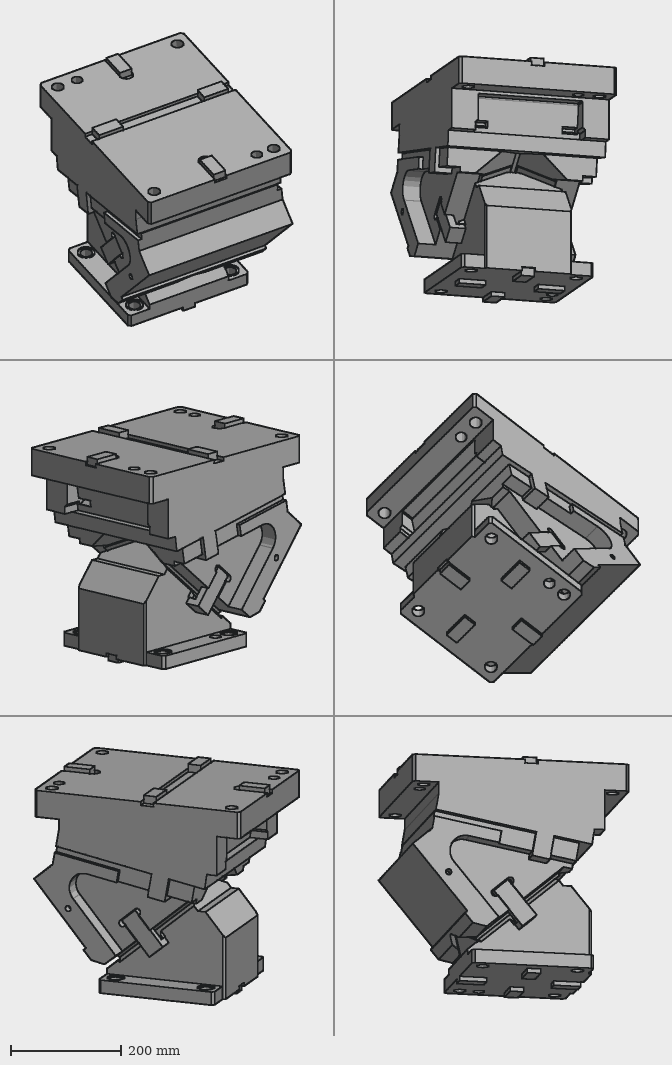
import cadquery as cq
import math


overall_length = 400.5
overall_width = 300.0
overall_height = 393.0
half_width = overall_width / 2

key_length = 50.0
key_width = 25.0
key_proud = 8.0
keyway_depth = 7.0
key_setback = 5.0

cut_margin = 4.0
corner_chamfer = 5.0
bolt_diameter = 22.0
dowel_diameter = 20.0

way_angle = math.radians(10)
way_x, way_z = 68.0, 232.5
ramp_angle = math.radians(40)
ramp_x, ramp_z = 114.0, 196.0

plate_length = 400.0
plate_thickness = 50.0
plate_top = overall_height - key_proud
plate_bottom = plate_top - plate_thickness
neck_left, neck_right = 45.0, 352.0
neck_step_z = 261.0
neck_lip_x = 64.0
way_end = 294.0
cross_groove_x = 167.8
cross_groove_width = 25.0
cross_key_inner = 85.0
end_keyway_length = 69.0
plate_hole_inset = 25.2
plate_bolt_y = 125.0
front_dowel_y = -85.0
rear_dowel_y = 89.7
recess_half_width = 99.5
recess_top = 328.8
recess_back_x = 80.0
recess_lip = 3.0
recess_corner = 2.0
recess_foot_extra = 5.2
recess_foot_height = 13.5
nook_inner = 71.3
nook_front_z, nook_back_z, nook_top = 274.0, 280.5, 286.0
nook_depth = 12.0
hook_start, hook_end = 71.3, 105.0
hook_thickness = 10.0

way_gap = 1.2
slide_start, slide_end = 23.0, 294.5
toe_depth = 44.0
slab_depth = 35.0
slab_half_width = 142.0
core_half_width = 117.0
back_corner_depth = 35.2
back_tip_n = 201.0
heel_s = 211.0
heel_top_n, heel_bottom_n = 44.0, 21.0
slide_foot_s = 194.5
flange_start = 168.0
flange_top_depth = 13.0
pocket_wall_s = 165.8
pocket_radius = 30.0
lift_hole_x, lift_hole_z = 334.0, 168.5
lift_hole_diameter = 10.5
lift_hole_depth = 20.0
drill_point_angle = math.radians(30)

roof_slope = math.radians(30)
roof_eave_n = -12.5
ridge_half_width = 12.0
valley_half_width = 66.0
valley_flat_half = 4.0
pad_inner_y = 5.5
pad_outer_y = 70.0
pad_start, pad_length = 1.0, 200.2

clamp_start, clamp_end = 96.5, 130.5
clamp_bottom_n, clamp_top_n = -38.0, 45.5
clamp_inner_y, clamp_outer_y = 100.0, 114.5
clamp_foot_y = 84.5
clamp_foot_top_n = -25.5
clamp_slot_top_n = 47.0
relief_radius = 6.5
relief_offset = 1.5

driver_left, driver_right = 55.0, 284.7
driver_bottom = key_proud
driver_half_width = 82.5
driver_chamfer_y = 2.5
shoulder_x, shoulder_z = 93.0, 169.5
driver_roof_start, driver_roof_end = 12.0, 200.5
driver_flat_n = -7.5
foot_left = 60.0
foot_half_width = 125.5
foot_top = 33.0
foot_bolt_x = (85.0, 260.3)
foot_bolt_y = 100.0
foot_dowel_x = 225.0
spotface_diameter = 31.2
spotface_depth = 2.0
driver_cross_key_x = 165.5
driver_cross_key_inner = 50.0
tab_overhang_s = 1.0
tab_outer_y = 94.0


def on_way(along, out):
    """XZ point at a distance along the holder way and out of it (up is positive)."""
    return (
        way_x + along * math.cos(way_angle) - out * math.sin(way_angle),
        way_z + along * math.sin(way_angle) + out * math.cos(way_angle),
    )


def on_ramp(s, n):
    """XZ point at a distance s down the ramp and n square to it (up is positive)."""
    return (
        ramp_x + s * math.cos(ramp_angle) + n * math.sin(ramp_angle),
        ramp_z - s * math.sin(ramp_angle) + n * math.cos(ramp_angle),
    )


def roof_n(y):
    """Height of the driver roof surface square to the ramp at a distance y from the middle."""
    return roof_eave_n + (driver_half_width - y) * math.tan(roof_slope)


def valley_n(y):
    """Height of the slide valley surface square to the ramp at a distance y from the middle."""
    return (valley_half_width - y) * math.tan(roof_slope)


def both_sides(solid):
    return solid.union(solid.mirror("XZ"))


def through(points, half):
    """Prism of an XZ outline, centred across the width."""
    return cq.Workplane("XZ").polyline(points).close().extrude(half, both=True)


def side_pair(points, inner, outer):
    """Prisms of an XZ outline between two distances from the middle, on both sides."""
    near = cq.Workplane("XZ", origin=(0, -inner, 0)).polyline(points).close().extrude(outer - inner)
    return both_sides(near)


def ramp_prism(points, s_start, s_end):
    """Prism of a (y, n) outline running down the ramp."""
    x, z = on_ramp(s_start, 0)
    down_ramp = (math.cos(ramp_angle), 0, -math.sin(ramp_angle))
    section = cq.Plane(origin=(x, 0, z), xDir=(0, 1, 0), normal=down_ramp)
    return cq.Workplane(section).polyline(points).close().extrude(s_end - s_start)


def box(x0, x1, y0, y1, z0, z1):
    return cq.Workplane("XY").box(x1 - x0, y1 - y0, z1 - z0, centered=False).translate((x0, y0, z0))


def ramp_rectangle(s0, s1, n0, n1):
    return [on_ramp(s0, n0), on_ramp(s1, n0), on_ramp(s1, n1), on_ramp(s0, n1)]


def way_rectangle(a0, a1, h0, h1):
    return [on_way(a0, h0), on_way(a1, h0), on_way(a1, h1), on_way(a0, h1)]


def end_keyway(x_edge, direction):
    """Round-ended keyway running in from an end of the plate."""
    arc_x = x_edge + direction * (end_keyway_length - key_width / 2)
    tip_x = x_edge + direction * end_keyway_length
    half = key_width / 2
    return (
        cq.Workplane("XY", origin=(0, 0, plate_top - keyway_depth))
        .moveTo(x_edge, -half)
        .lineTo(arc_x, -half)
        .threePointArc((tip_x, 0), (arc_x, half))
        .lineTo(x_edge, half)
        .close()
        .extrude(keyway_depth)
    )


def holder_keys():
    half = key_width / 2
    z0, z1 = plate_top - keyway_depth, overall_height
    front = box(key_setback, key_setback + key_length, -half, half, z0, z1)
    rear_end = plate_length - key_setback
    rear = box(rear_end - key_length, rear_end, -half, half, z0, z1)
    groove_end = cross_groove_x + cross_groove_width
    cross = box(cross_groove_x, groove_end, cross_key_inner, cross_key_inner + key_length, z0, z1)
    return front, rear, cross, cross.mirror("XZ")


def plate_holes():
    front_x = plate_hole_inset
    rear_x = plate_length - plate_hole_inset
    bolts = [(x, y) for x in (front_x, rear_x) for y in (-plate_bolt_y, plate_bolt_y)]
    dowels = [(front_x, front_dowel_y), (rear_x, rear_dowel_y)]
    floor = cq.Workplane("XY", origin=(0, 0, plate_bottom))
    bolt_holes = floor.pushPoints(bolts).circle(bolt_diameter / 2).extrude(plate_thickness)
    dowel_holes = floor.pushPoints(dowels).circle(dowel_diameter / 2).extrude(plate_thickness)
    return bolt_holes, dowel_holes


def front_recess():
    """Pocket in the front of the neck; its back wall is square to the way."""
    lean = math.tan(way_angle)
    wall_top_z = recess_top - recess_lip
    wall_top_x = recess_back_x - (wall_top_z - neck_step_z) * lean
    foot_half = recess_half_width + recess_foot_extra
    foot_top_z = neck_step_z + recess_foot_height
    pocket = through(
        [
            (neck_left, neck_step_z),
            (recess_back_x, neck_step_z),
            (wall_top_x, wall_top_z),
            (wall_top_x, recess_top),
            (neck_left, recess_top),
        ],
        foot_half,
    )
    half_opening = [
        (0, neck_step_z),
        (foot_half, neck_step_z),
        (foot_half, foot_top_z),
        (recess_half_width, foot_top_z + recess_foot_extra),
        (recess_half_width, recess_top - recess_corner),
        (recess_half_width - recess_corner, recess_top),
        (0, recess_top),
    ]
    opening = cq.Workplane("YZ").polyline(half_opening).close().extrude(recess_back_x)
    pocket = pocket.intersect(both_sides(opening))

    nook_back_x = recess_back_x + nook_depth
    nook = side_pair(
        [
            (neck_lip_x, nook_front_z),
            (recess_back_x, nook_front_z),
            (nook_back_x, nook_back_z),
            (nook_back_x, nook_top),
            (neck_lip_x, nook_top),
        ],
        nook_inner,
        recess_half_width,
    )
    return pocket.union(nook)


def make_holder():
    plate = box(0, plate_length, -half_width, half_width, plate_bottom, plate_top)
    plate = plate.edges("|Z").chamfer(corner_chamfer)
    way_back_x, way_back_z = on_way(way_end, 0)
    kink_z = way_back_z + (way_back_x - neck_right) / math.tan(way_angle)
    neck = through(
        [
            (neck_left, plate_bottom),
            (neck_left, neck_step_z),
            (neck_lip_x, neck_step_z),
            (way_x, way_z),
            (way_back_x, way_back_z),
            (neck_right, kink_z),
            (neck_right, plate_bottom),
        ],
        half_width,
    )
    body = plate.union(neck).cut(front_recess())

    foot_bottom = -slab_depth - hook_thickness
    leg_outline = way_rectangle(hook_start, hook_end, foot_bottom, 0)
    foot_outline = way_rectangle(hook_start, hook_end, foot_bottom, -slab_depth)
    body = body.union(side_pair(leg_outline, slab_half_width, half_width))
    body = body.union(side_pair(foot_outline, core_half_width, half_width))

    groove_end = cross_groove_x + cross_groove_width
    groove_z = plate_top - keyway_depth
    body = body.cut(box(cross_groove_x, groove_end, -half_width, half_width, groove_z, plate_top))
    body = body.cut(end_keyway(0, 1)).cut(end_keyway(plate_length, -1))
    for key in holder_keys():
        body = body.union(key)
    for holes in plate_holes():
        body = body.cut(holes)
    return body


def slide_pocket():
    """Side pocket under the slab: roof along the way, wall square to the ramp, round between."""
    wall_x, wall_z = on_ramp(pocket_wall_s, 0)
    roof_x, roof_z = on_way(0, -slab_depth)
    wall_rise = 1 / math.tan(ramp_angle)
    roof_rise = math.tan(way_angle)
    corner_x = (roof_z - wall_z + wall_rise * wall_x - roof_rise * roof_x) / (wall_rise - roof_rise)
    corner_z = wall_z + wall_rise * (corner_x - wall_x)
    outline = [
        (roof_x, roof_z),
        (corner_x, corner_z),
        on_ramp(pocket_wall_s, -toe_depth),
        (roof_x, 0),
    ]
    depth = half_width - core_half_width
    pocket = cq.Workplane("XZ", origin=(0, -core_half_width, 0)).polyline(outline).close().extrude(depth)
    corner_middle = (corner_x, -core_half_width - depth / 2, corner_z)
    corner_edge = pocket.edges(cq.selectors.NearestToPointSelector(corner_middle))
    return both_sides(corner_edge.fillet(pocket_radius))


def slide_flange_trim():
    """Outer layer taken off ahead of the flange and along its top edge."""
    beyond = slide_end + cut_margin
    ahead = side_pair(way_rectangle(0, flange_start, -2 * toe_depth, 0), slab_half_width, half_width)
    above = side_pair(way_rectangle(0, beyond, -flange_top_depth, 0), slab_half_width, half_width)
    return ahead.union(above)


def slide_valley():
    flat_n = valley_n(valley_flat_half)
    profile = [
        (-slab_half_width, valley_n(slab_half_width)),
        (-valley_flat_half, flat_n),
        (valley_flat_half, flat_n),
        (slab_half_width, valley_n(slab_half_width)),
    ]
    return ramp_prism(profile, -overall_length, overall_length)


def guide_pads():
    """Pads lining the valley and resting on the driver roof, with outer edges square to it."""
    edge_y = pad_outer_y - roof_n(pad_outer_y) * math.tan(roof_slope)
    profile = [
        (pad_inner_y, roof_n(pad_inner_y)),
        (pad_outer_y, roof_n(pad_outer_y)),
        (edge_y, 0),
        (valley_half_width, 0),
        (pad_inner_y, valley_n(pad_inner_y)),
    ]
    return both_sides(ramp_prism(profile, pad_start, pad_start + pad_length))


def clamp_slot():
    """Slots in the core sides for the clamps, with round corner reliefs."""
    outline = ramp_rectangle(clamp_start, clamp_end, -cut_margin, clamp_slot_top_n)
    slot = side_pair(outline, clamp_inner_y, core_half_width)
    relief_n = clamp_slot_top_n - relief_radius
    relief_points = [
        on_ramp(clamp_start - relief_offset, relief_n),
        on_ramp(clamp_end + relief_offset, relief_n),
    ]
    relief = (
        cq.Workplane("XZ", origin=(0, -clamp_inner_y, 0))
        .pushPoints(relief_points)
        .circle(relief_radius)
        .extrude(core_half_width - clamp_inner_y)
    )
    return slot.union(both_sides(relief))


def clamps():
    leg = ramp_rectangle(clamp_start, clamp_end, clamp_bottom_n, clamp_top_n)
    foot = ramp_rectangle(clamp_start, clamp_end, clamp_bottom_n, clamp_foot_top_n)
    return side_pair(leg, clamp_inner_y, clamp_outer_y).union(side_pair(foot, clamp_foot_y, clamp_outer_y))


def lift_holes():
    """Blind holes in both flanges, each with a conical drill point."""
    radius = lift_hole_diameter / 2
    straight_end = lift_hole_depth - radius * math.tan(drill_point_angle)
    half_section = [(0, 0), (radius, 0), (radius, straight_end), (0, lift_hole_depth)]
    near_face = cq.Plane(origin=(lift_hole_x, -half_width, lift_hole_z), xDir=(1, 0, 0), normal=(0, 0, 1))
    hole = cq.Workplane(near_face).polyline(half_section).close().revolve(360, (0, 0, 0), (0, 1, 0))
    return both_sides(hole)


def make_slide():
    back_tip_s = (overall_length - ramp_x - back_tip_n * math.sin(ramp_angle)) / math.cos(ramp_angle)
    body = through(
        [
            on_way(slide_start, -way_gap),
            on_way(slide_start, -toe_depth),
            on_ramp(0, 0),
            on_ramp(slide_foot_s, 0),
            on_ramp(heel_s, heel_bottom_n),
            on_ramp(heel_s, heel_top_n),
            on_ramp(back_tip_s, heel_top_n),
            on_ramp(back_tip_s, back_tip_n),
            on_way(slide_end, -back_corner_depth),
            on_way(slide_end, -way_gap),
        ],
        half_width,
    )
    body = body.cut(slide_flange_trim()).cut(slide_pocket()).cut(slide_valley())
    body = body.union(guide_pads()).cut(clamp_slot()).union(clamps())
    return body.cut(lift_holes())


def driver_roof_waste():
    """Material above the two roof slopes."""
    ridge_n = roof_n(ridge_half_width)
    profile = [
        (ridge_half_width, ridge_n),
        (driver_half_width, roof_eave_n),
        (driver_half_width, ridge_n),
    ]
    return both_sides(ramp_prism(profile, driver_roof_start, driver_roof_end))


def driver_tabs():
    """Tabs that carry the roof out over the clamp feet."""
    profile = [
        (pad_outer_y, clamp_foot_top_n),
        (tab_outer_y, clamp_foot_top_n),
        (tab_outer_y, roof_n(tab_outer_y)),
        (pad_outer_y, roof_n(pad_outer_y)),
    ]
    return both_sides(ramp_prism(profile, clamp_start - tab_overhang_s, clamp_end + tab_overhang_s))


def driver_keys():
    half = key_width / 2
    front = box(foot_left, foot_left + key_length, -half, half, 0, driver_bottom + keyway_depth)
    rear = box(driver_right - key_length, driver_right, -half, half, 0, driver_bottom)
    cross_start = driver_cross_key_x - half
    cross_outer = driver_cross_key_inner + key_length
    cross = box(cross_start, cross_start + key_width, driver_cross_key_inner, cross_outer, 0, driver_bottom)
    return front, rear, cross, cross.mirror("XZ")


def make_driver():
    ridge_n = roof_n(ridge_half_width)
    end_x, end_z = on_ramp(driver_roof_end, driver_flat_n)
    shoulder_end_n = (
        shoulder_z - ramp_z + driver_roof_start * math.sin(ramp_angle)
    ) / math.cos(ramp_angle)
    front_top_z = shoulder_z - (shoulder_x - driver_left) / math.tan(ramp_angle)
    body = through(
        [
            (driver_left, driver_bottom),
            (driver_left, front_top_z),
            (shoulder_x, shoulder_z),
            on_ramp(driver_roof_start, shoulder_end_n),
            on_ramp(driver_roof_start, ridge_n),
            on_ramp(driver_roof_end, ridge_n),
            (end_x, end_z),
            (driver_right, end_z - (driver_right - end_x) * math.tan(ramp_angle)),
            (driver_right, driver_bottom),
        ],
        driver_half_width,
    )
    body = body.faces("<X").edges("|Z").chamfer(driver_chamfer_y, corner_chamfer)
    body = body.cut(driver_roof_waste()).union(driver_tabs())

    foot = box(foot_left, driver_right, -foot_half_width, foot_half_width, driver_bottom, foot_top)
    foot = foot.edges("|Z").chamfer(corner_chamfer)
    bolts = [(x, y) for x in foot_bolt_x for y in (-foot_bolt_y, foot_bolt_y)]
    top = foot.faces(">Z").workplane(origin=(0, 0, foot_top))
    foot = top.pushPoints(bolts).cboreHole(bolt_diameter, spotface_diameter, spotface_depth)
    top = foot.faces(">Z").workplane(origin=(0, 0, foot_top))
    foot = top.pushPoints([(foot_dowel_x, -foot_bolt_y)]).hole(dowel_diameter)
    body = body.union(foot)

    half = key_width / 2
    keyway_top = driver_bottom + keyway_depth
    body = body.cut(box(driver_left, foot_left, -half, half, driver_bottom, keyway_top))
    for key in driver_keys():
        body = body.union(key)
    return body


holder = make_holder()
slide = make_slide()
driver = make_driver()

result = cq.Compound.makeCompound([holder.solids().val(), slide.solids().val(), driver.solids().val()])